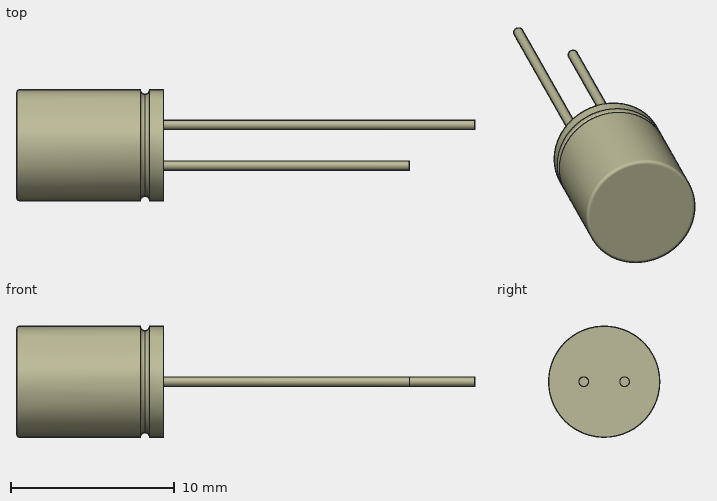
import cadquery as cq

body_diameter = 6.8
body_length = 9.0
front_fillet = 0.2

groove_center_x = 7.85
groove_radius = 0.28

lead_diameter = 0.6
lead_spacing = 2.5
long_lead_end_x = 28.0
short_lead_end_x = 24.0

body_radius = body_diameter / 2
cap_length = body_length - groove_center_x


def cylinder_along_x(start_x, length, radius, center_y=0.0):
    """Solid cylinder parallel to X, starting at start_x."""
    return cq.Workplane("YZ", origin=(start_x, center_y, 0)).circle(radius).extrude(length)


def make_groove_cutter():
    """Ring of round section, centred on the outer surface of the body."""
    return (
        cq.Workplane("XY")
        .center(groove_center_x, body_radius)
        .circle(groove_radius)
        .revolve(360, (0, -body_radius), (1, -body_radius))
    )


def make_can():
    """Rounded can that ends at the bottom of the groove."""
    can = cylinder_along_x(0, groove_center_x, body_radius)
    can = can.faces("<X").edges().fillet(front_fillet)
    return can.cut(make_groove_cutter())


def make_end_cap():
    """Disc that closes the can and carries the other half of the groove."""
    cap = cylinder_along_x(groove_center_x, cap_length, body_radius)
    return cap.cut(make_groove_cutter())


def make_lead(center_y, end_x):
    """Straight wire that starts on the rear face of the end cap."""
    return cylinder_along_x(body_length, end_x - body_length, lead_diameter / 2, center_y)


can = make_can()
end_cap = make_end_cap()

leads = []
for center_y, end_x in (
    (lead_spacing / 2, long_lead_end_x),
    (-lead_spacing / 2, short_lead_end_x),
):
    leads.append(make_lead(center_y, end_x).val())

result = cq.Compound.makeCompound([can.val(), end_cap.val(), *leads])